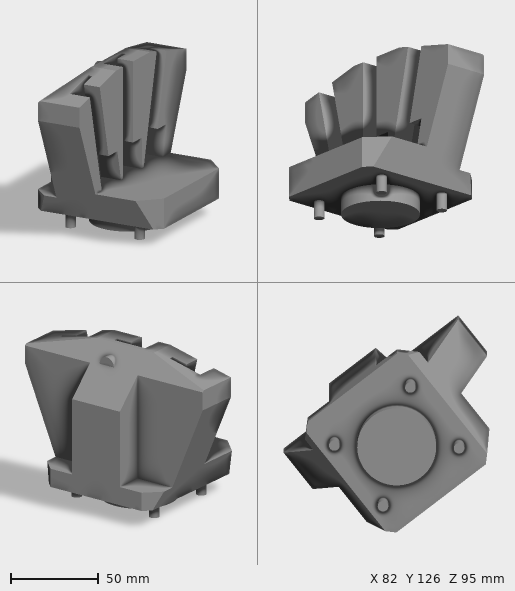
import cadquery as cq
import math

LENGTH = 82.0
PLATE_TOP = 18.0
PLATE_CORNER = 12.0

WALL_FRONT = 17.0
WALL_BACK = 44.0
FOOT_HALF_WIDTH = 36.8
SHOULDER_HALF_WIDTH = 63.0
SHOULDER_BOTTOM = 63.0
SHOULDER_TOP = 75.0
TOP = 85.0
TOP_HALF_WIDTH = 20.0
FRONT_LEDGE = 11.1

FLARE = (SHOULDER_HALF_WIDTH - FOOT_HALF_WIDTH) / SHOULDER_BOTTOM
PLATE_HALF_WIDTH = FOOT_HALF_WIDTH + FLARE * PLATE_TOP

RIB_HALF_WIDTH = 16.9
RIB_FRONT_HEIGHT = 57.0

PEG_RADIUS = 5.0
PEG_Y = 5.5
PEG_FRONT = 17.6

SLOT_DEPTH_X = 13.0
SLOT_LENGTH = 22.0
LIP_SETBACK = 2.6
LIP_LENGTH = 10.1
LIP_BOTTOM = 36.5
SLOT_CENTRE_Y = -0.8
SLOT_PITCH = 39.3

SPIGOT_DIAMETER = 45.0
PIN_DIAMETER = 6.0
PIN_SPACING_X = 45.0
PIN_SPACING_Y = 54.9
SPIGOT_HEIGHT = 10.0

CUT_LENGTH = 189.0


def box(x_range, y_range, z_range):
    """Axis-aligned box from three (low, high) ranges."""
    low, high = zip(x_range, y_range, z_range)
    size = [b - a for a, b in zip(low, high)]
    return cq.Workplane("XY").box(*size, centered=False).translate(low)


def side_outline():
    """Flared outline in YZ, extruded over the full length."""
    right = [
        (FOOT_HALF_WIDTH, 0),
        (SHOULDER_HALF_WIDTH, SHOULDER_BOTTOM),
        (SHOULDER_HALF_WIDTH, SHOULDER_TOP),
        (TOP_HALF_WIDTH, TOP),
    ]
    left = [(-y, z) for y, z in reversed(right)]
    return cq.Workplane("YZ").polyline(right + left).close().extrude(LENGTH)


def body():
    """Wall, rib and plate sharing the flared side outline."""
    slope_end = TOP - RIB_FRONT_HEIGHT
    profile = [
        (0, 0),
        (LENGTH, 0),
        (LENGTH, PLATE_TOP),
        (WALL_BACK, PLATE_TOP),
        (WALL_BACK, TOP),
        (slope_end, TOP),
        (0, RIB_FRONT_HEIGHT),
    ]
    solid = (
        cq.Workplane("XZ").polyline(profile).close()
        .extrude(SHOULDER_HALF_WIDTH, both=True)
        .intersect(side_outline())
    )
    for y_range in (
        (RIB_HALF_WIDTH, SHOULDER_HALF_WIDTH),
        (-SHOULDER_HALF_WIDTH, -RIB_HALF_WIDTH),
    ):
        solid = solid.cut(box((0, WALL_FRONT), y_range, (FRONT_LEDGE, TOP)))
    limits = (
        cq.Workplane("XY")
        .box(LENGTH, 2 * PLATE_HALF_WIDTH, PLATE_TOP, centered=(False, True, False))
        .edges("|Z").chamfer(PLATE_CORNER)
    )
    wall_zone = box(
        (0, WALL_BACK), (-SHOULDER_HALF_WIDTH, SHOULDER_HALF_WIDTH), (PLATE_TOP, TOP)
    )
    return solid.intersect(limits.union(wall_zone))


def peg():
    return (
        cq.Workplane("YZ", origin=(PEG_FRONT, PEG_Y, RIB_FRONT_HEIGHT + PEG_FRONT))
        .circle(PEG_RADIUS).extrude(2 * PEG_RADIUS)
    )


def hooked_slot(side):
    """Slot square to its top face: side is -1, 0 or 1 along Y."""
    fall = (TOP - SHOULDER_TOP) / (SHOULDER_HALF_WIDTH - TOP_HALF_WIDTH)
    tilt = -side * math.degrees(math.atan(fall))
    y = SLOT_CENTRE_Y + side * SLOT_PITCH
    z = TOP - abs(side) * fall * (abs(y) - TOP_HALF_WIDTH)
    half = SLOT_LENGTH / 2
    slot_front = WALL_BACK - SLOT_DEPTH_X
    along_normal = (-CUT_LENGTH / 2, CUT_LENGTH / 2)

    def place(block):
        return block.rotate((0, 0, 0), (1, 0, 0), tilt).translate((0, y, z))

    slot = place(box((slot_front, WALL_BACK), (-half, half), along_normal))
    lip = place(
        box((slot_front + LIP_SETBACK, WALL_BACK), (half - LIP_LENGTH, half), along_normal)
    )
    all_y = (-CUT_LENGTH, CUT_LENGTH)
    above_plate = box((0, LENGTH), all_y, (PLATE_TOP, CUT_LENGTH))
    lip_zone = box((0, LENGTH), all_y, (LIP_BOTTOM, CUT_LENGTH))
    return slot.intersect(above_plate).cut(lip.intersect(lip_zone))


def underside():
    """Spigot with a rectangular pattern of four pins."""
    centre = cq.Workplane("XY", origin=(LENGTH / 2, 0, 0))
    spigot = centre.circle(SPIGOT_DIAMETER / 2).extrude(-SPIGOT_HEIGHT)
    pins = (
        centre.rect(PIN_SPACING_X, PIN_SPACING_Y, forConstruction=True)
        .vertices().circle(PIN_DIAMETER / 2).extrude(-SPIGOT_HEIGHT)
    )
    return spigot.union(pins)


result = body().union(peg())
for slot_side in (-1, 0, 1):
    result = result.cut(hooked_slot(slot_side))
result = result.union(underside())